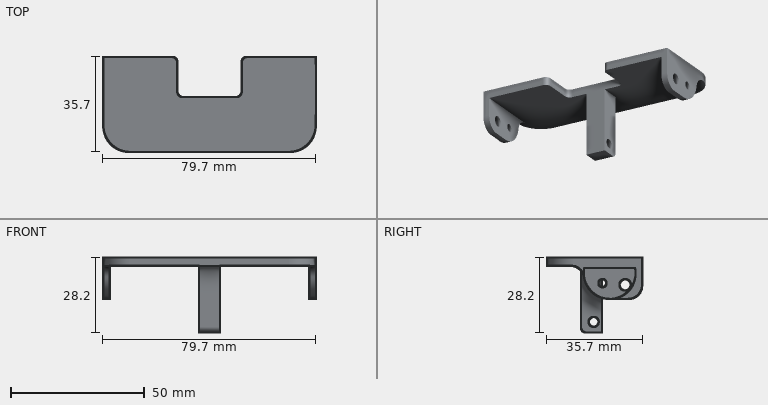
import cadquery as cq
import math


plate_width = 79.6
plate_depth = 35.66
plate_thickness = 3.2
plate_corner_radius = 10.0
notch_width = 24.0
notch_depth = 15.0
notch_radius = 2.0

ear_thickness = 2.5
ear_height = 15.6
ear_back_radius = 5.2
ear_front_radius = 9.7
ear_front_center_y = -12.2
ear_root_radius = 5.0
large_hole_diameter = 4.15
large_hole_y = -6.4
large_hole_z = -10.3
small_hole_diameter = 3.0
small_hole_y = -14.95
small_hole_z = -9.65

pad_thickness = 0.1
pad_top_gap = 0.7

post_width = 8.0
post_depth = 8.0
post_height = 28.18
post_tip_radius = 2.0
post_root_radius = 0.7
post_hole_diameter = 3.65
post_hole_y = -18.2
post_hole_z = -24.15

half_width = plate_width / 2
plate_bottom = -plate_thickness
ear_front_center_z = ear_front_radius - ear_height

root_center_z = plate_bottom - ear_root_radius
center_distance = ear_front_radius + ear_root_radius
blend_angle = math.asin((ear_front_center_z - root_center_z) / center_distance)
quarter_mid_angle = (math.pi / 2 + blend_angle) / 2
root_center_y = ear_front_center_y - center_distance * math.cos(blend_angle)

post_front_y = -notch_depth - post_depth


def corner_inset(radius):
    """Offset, along each side, from a square corner to the middle of its rounding arc."""
    return radius * (1 - math.sqrt(0.5))


def plate_blank(height):
    """Plate outline with rounded front corners, extruded down from Z = 0."""
    return (
        cq.Workplane("XY")
        .box(plate_width, plate_depth, height, centered=(True, False, False))
        .translate((0, -plate_depth, -height))
        .edges("|Z and <Y")
        .fillet(plate_corner_radius)
    )


def make_plate():
    """Plate with a notch in its back edge; all four notch corners are rounded."""
    notch = (
        cq.Workplane("XY")
        .box(notch_width, notch_depth, plate_thickness, centered=(True, False, False))
        .translate((0, -notch_depth, plate_bottom))
    )
    notch_corners = cq.selectors.BoxSelector(
        (-notch_width, -notch_depth - notch_radius, plate_bottom),
        (notch_width, notch_radius, 0),
    )
    plate = plate_blank(plate_thickness).cut(notch)
    return plate.edges("|Z").edges(notch_corners).fillet(notch_radius)


def cross_cylinder(x_start, length, y, z, radius):
    """Cylinder along +X."""
    return (
        cq.Workplane("YZ", origin=(x_start, 0, 0))
        .center(y, z)
        .circle(radius)
        .extrude(length)
    )


def drill_ear(body, x_start, length):
    """Cut the two ear holes through a body of the given X length."""
    large_hole = cross_cylinder(x_start, length, large_hole_y, large_hole_z, large_hole_diameter / 2)
    small_hole = cross_cylinder(x_start, length, small_hole_y, small_hole_z, small_hole_diameter / 2)
    return body.cut(large_hole).cut(small_hole)


def ear_front_point(angle):
    """Point on the convex ear front, at an angle measured from straight forward, positive downward."""
    return (
        ear_front_center_y - ear_front_radius * math.cos(angle),
        ear_front_center_z - ear_front_radius * math.sin(angle),
    )


def ear_profile(x_start):
    """Ear side outline: rounded back corner, convex front, concave root tangent to the plate bottom."""
    root_middle = (
        root_center_y + ear_root_radius * math.cos(quarter_mid_angle),
        root_center_z + ear_root_radius * math.sin(quarter_mid_angle),
    )
    back_diagonal = corner_inset(ear_back_radius)
    return (
        cq.Workplane("YZ", origin=(x_start, 0, 0))
        .moveTo(0, 0)
        .lineTo(0, ear_back_radius - ear_height)
        .threePointArc(
            (-back_diagonal, back_diagonal - ear_height),
            (-ear_back_radius, -ear_height),
        )
        .lineTo(ear_front_center_y, -ear_height)
        .threePointArc(ear_front_point(quarter_mid_angle), ear_front_point(blend_angle))
        .threePointArc(root_middle, (root_center_y, plate_bottom))
        .lineTo(root_center_y, 0)
        .close()
    )


def make_ear(x_start):
    """Ear trimmed to the rounded plate outline."""
    ear = ear_profile(x_start).extrude(ear_thickness).intersect(plate_blank(ear_height))
    return drill_ear(ear, x_start, ear_thickness)


def make_pad():
    """Disc continuing the convex ear front, cut flat below the plate."""
    pad_top = plate_bottom - pad_top_gap
    top_angle = -math.asin((pad_top - ear_front_center_z) / ear_front_radius)
    pad = (
        cq.Workplane("YZ", origin=(half_width, 0, 0))
        .moveTo(ear_front_center_y, -ear_height)
        .threePointArc(ear_front_point(quarter_mid_angle), ear_front_point(blend_angle))
        .threePointArc(ear_front_point((blend_angle + top_angle) / 2), ear_front_point(top_angle))
        .lineTo(*ear_front_point(math.pi - top_angle))
        .threePointArc(ear_front_point(math.pi), (ear_front_center_y, -ear_height))
        .close()
        .extrude(pad_thickness)
    )
    return drill_ear(pad, half_width, pad_thickness)


def make_post():
    """Post flush with the notch floor, rounded at its front tip and flared into the plate."""
    root_diagonal = corner_inset(post_root_radius)
    tip_diagonal = corner_inset(post_tip_radius)
    post = (
        cq.Workplane("YZ", origin=(-post_width / 2, 0, 0))
        .moveTo(-notch_depth, plate_bottom)
        .lineTo(-notch_depth, -post_height)
        .lineTo(post_front_y + post_tip_radius, -post_height)
        .threePointArc(
            (post_front_y + tip_diagonal, tip_diagonal - post_height),
            (post_front_y, post_tip_radius - post_height),
        )
        .lineTo(post_front_y, plate_bottom - post_root_radius)
        .threePointArc(
            (post_front_y - root_diagonal, plate_bottom - root_diagonal),
            (post_front_y - post_root_radius, plate_bottom),
        )
        .close()
        .extrude(post_width)
    )
    hole = cross_cylinder(-post_width / 2, post_width, post_hole_y, post_hole_z, post_hole_diameter / 2)
    return post.cut(hole)


result = (
    make_plate()
    .union(make_ear(-half_width))
    .union(make_ear(half_width - ear_thickness))
    .union(make_pad())
    .union(make_post())
)